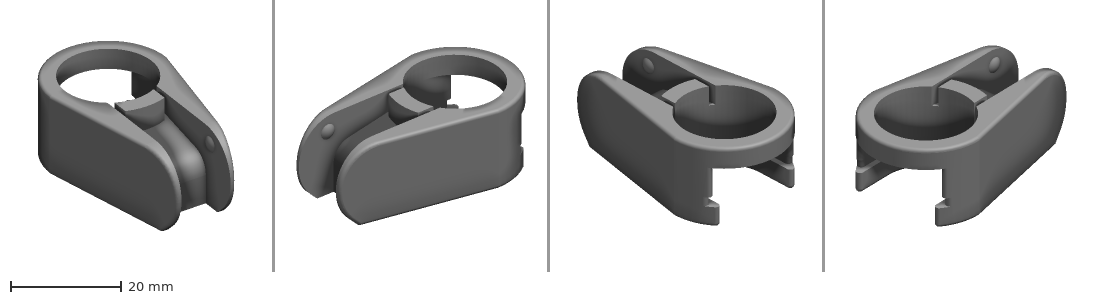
import cadquery as cq
import math

ring_radius = 12.75
height = 16.7
tip_x = 32.0
tip_half_width = 6.35
rim_fillet = 0.7

upper_round_radius = 8.3
tip_flat_bottom = 7.88
tip_flat_top = height - upper_round_radius
round_start_x = tip_x - upper_round_radius
chamfer_top_x = 29.75
chamfer_top_z = 2.0
chamfer_bottom_x = 27.75

bore_radius = 18.9 / 2
groove_radius = 9.8
lip_radius = 8.7
lip_top = 4.2
groove_top = 6.1
mouth_top = 12.45
finger_tip_radius = 0.75

gap_half_width = 5.33
tongue_half_width = 4.25
web_start_z = 12.65
web_round_start_x = 20.5
web_round_start_z = 10.2
web_end_x = 23.95
web_start_x = math.sqrt(bore_radius**2 - tongue_half_width**2)

web_slope = math.atan2(web_start_z - web_round_start_z, web_round_start_x - web_start_x)
web_round_radius = (web_end_x - web_round_start_x) / (1 - math.sin(web_slope))
web_end_z = web_round_start_z - web_round_radius * math.cos(web_slope)

bump_x = 25.3
bump_z = 13.2
bump_radius = 1.55
bump_height = 0.6

margin = 4.48


def make_body():
    """Round-nosed tapering block with a rounded free end and softened rim."""
    plan = (
        cq.Workplane("XY")
        .moveTo(0, ring_radius)
        .threePointArc((-ring_radius, 0), (0, -ring_radius))
        .lineTo(tip_x, -tip_half_width)
        .lineTo(tip_x, tip_half_width)
        .close()
        .extrude(height)
    )
    side = (
        cq.Workplane("XZ")
        .moveTo(-ring_radius - margin, height)
        .lineTo(round_start_x, height)
        .tangentArcPoint((tip_x, tip_flat_top), relative=False)
        .lineTo(tip_x, tip_flat_bottom)
        .tangentArcPoint((chamfer_top_x, chamfer_top_z), relative=False)
        .lineTo(chamfer_bottom_x, 0)
        .lineTo(-ring_radius - margin, 0)
        .close()
        .extrude(ring_radius + margin, both=True)
    )
    return plan.intersect(side).edges("not(|Y or |Z)").fillet(rim_fillet)


def make_mouth(half_width, bottom, top):
    """Opening towards -X whose two side walls end in rounded finger tips."""
    centre_y = half_width + finger_tip_radius
    centre_distance = ring_radius - finger_tip_radius
    centre_x = -math.sqrt(centre_distance**2 - centre_y**2)
    seam_x = centre_x * ring_radius / centre_distance
    seam_y = centre_y * ring_radius / centre_distance
    bisector = (math.atan2(centre_y, centre_x) + 1.5 * math.pi) / 2
    tip = (
        centre_x + finger_tip_radius * math.cos(bisector),
        centre_y + finger_tip_radius * math.sin(bisector),
    )
    exit_x = seam_x + finger_tip_radius * seam_y / ring_radius
    exit_y = seam_y - finger_tip_radius * seam_x / ring_radius
    outside_x = -ring_radius - margin
    return (
        cq.Workplane("XY", origin=(0, 0, bottom))
        .moveTo(0, half_width)
        .lineTo(centre_x, half_width)
        .threePointArc(tip, (seam_x, seam_y))
        .lineTo(exit_x, exit_y)
        .lineTo(outside_x, exit_y)
        .lineTo(outside_x, -exit_y)
        .lineTo(exit_x, -exit_y)
        .lineTo(seam_x, -seam_y)
        .threePointArc((tip[0], -tip[1]), (centre_x, -half_width))
        .lineTo(0, -half_width)
        .close()
        .extrude(top - bottom)
    )


def make_disc(radius, bottom, top):
    return cq.Workplane("XY", origin=(0, 0, bottom)).circle(radius).extrude(top - bottom)


def make_lip_opening():
    """Opening inside the bottom lip, flared at the base to round the lip's lower edge."""
    opening = make_mouth(lip_radius, 0, lip_top).union(make_disc(lip_radius, 0, lip_top))
    reach = ring_radius + 2 * margin
    base = cq.Workplane("XY").rect(2 * reach, 2 * reach).extrude(-margin)
    inner_reach = reach - margin / 2
    junction = cq.selectors.BoxSelector(
        (-inner_reach, -inner_reach, -lip_top / 2),
        (inner_reach, inner_reach, lip_top / 2),
    )
    return opening.union(base).edges(junction).fillet(rim_fillet)


def make_gap():
    """Space between the prongs, bounded below by the sloping web."""
    gap = (
        cq.Workplane("XZ")
        .moveTo(0, height)
        .lineTo(0, web_start_z)
        .lineTo(web_start_x, web_start_z)
        .lineTo(web_round_start_x, web_round_start_z)
        .tangentArcPoint((web_end_x, web_end_z), relative=False)
        .lineTo(web_end_x, 0)
        .lineTo(tip_x + margin, 0)
        .lineTo(tip_x + margin, height)
        .close()
        .extrude(gap_half_width, both=True)
    )
    tongue = make_disc(ring_radius, 0, height).intersect(
        cq.Workplane("XY").box(ring_radius, 2 * tongue_half_width, height, centered=(False, True, False))
    )
    return gap.cut(tongue)


def make_bump(side):
    """Spherical cap standing on the inner face of one prong."""
    sphere_radius = (bump_radius**2 + bump_height**2) / (2 * bump_height)
    centre_y = gap_half_width - bump_height + sphere_radius
    sphere = cq.Workplane("XY").sphere(sphere_radius).translate((bump_x, side * centre_y, bump_z))
    inner_space = cq.Workplane("XY").box(2 * tip_x, 2 * gap_half_width, 2 * height)
    return sphere.intersect(inner_space)


result = make_body()
result = result.cut(make_lip_opening())
for radius, bottom, top in [(groove_radius, lip_top, groove_top), (bore_radius, groove_top, mouth_top)]:
    result = result.cut(make_mouth(radius, bottom, top))
    result = result.cut(make_disc(radius, bottom, top))
result = result.cut(make_disc(bore_radius, mouth_top, height))
result = result.cut(make_gap())
for side in (-1, 1):
    result = result.union(make_bump(side))